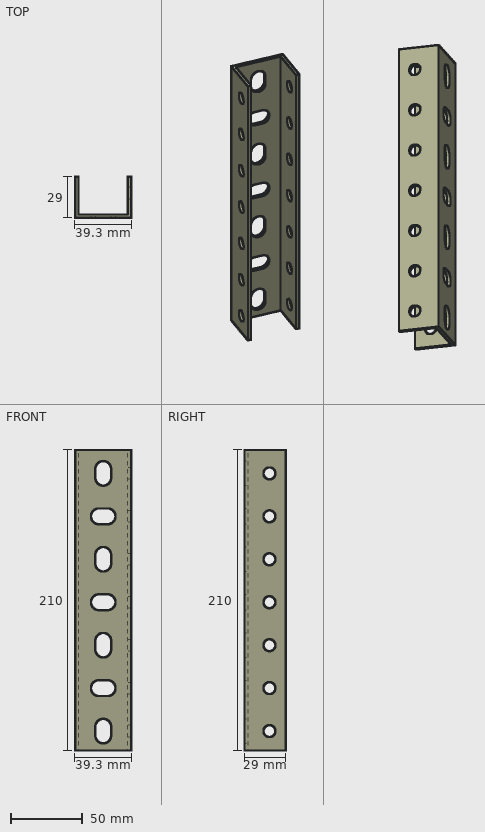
import cadquery as cq

length = 210.0
width = 39.3
depth = 29.0
wall = 2.5

hole_count = 7
hole_pitch = length / hole_count
top_margin = 16.4

slot_length = 17.0
slot_width = 11.0
flange_hole_diameter = 8.2
flange_hole_setback = 17.5

hole_heights = [length - top_margin - i * hole_pitch for i in range(hole_count)]


def channel():
    outer = cq.Workplane("XY").box(width, depth, length, centered=(True, False, False))
    inside = (
        cq.Workplane("XY")
        .box(width - 2 * wall, depth - wall, length, centered=(True, False, False))
        .translate((0, wall, 0))
    )
    return outer.cut(inside)


def web_slots():
    """Slots through the web, alternating between lengthwise and crosswise."""
    slots = cq.Workplane("XZ")
    for i, height in enumerate(hole_heights):
        angle = 90 if i % 2 == 0 else 0
        slot = (
            cq.Workplane("XZ")
            .center(0, height)
            .slot2D(slot_length, slot_width, angle)
            .extrude(-wall)
        )
        slots = slots.add(slot)
    return slots.combine()


def flange_holes():
    """Round holes passing through both flanges."""
    return (
        cq.Workplane("YZ")
        .pushPoints([(flange_hole_setback, height) for height in hole_heights])
        .circle(flange_hole_diameter / 2)
        .extrude(width / 2, both=True)
    )


result = channel().cut(web_slots()).cut(flange_holes())